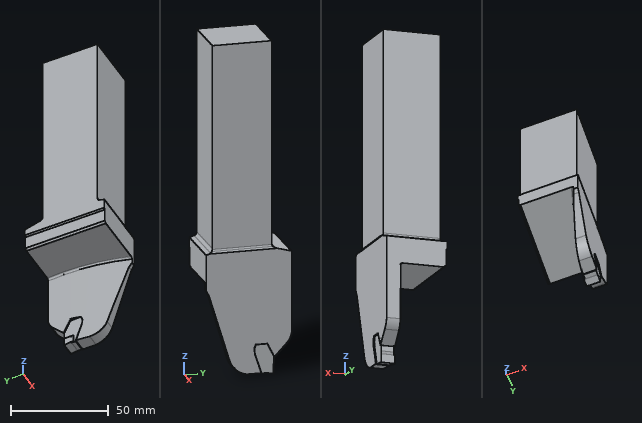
import cadquery as cq
import math

LENGTH = 177.8
HEAD_WIDTH = 33.6
HEAD_DEPTH = 45.7
SIDE_TILT = 0.9
MARGIN = 17.8

SHANK_SIZE = 31.6
SHANK_FRONT = 4.0
SHANK_BACK = SHANK_FRONT + SHANK_SIZE
SHOULDER_TOP = 67.7
FRONT_SHOULDER_EDGE = 66.5
BACK_SHOULDER_EDGE = 64.9
SHOULDER_FILLET = 2.0
RIGHT_FILLET = 1.0
RIGHT_SHOULDER_LIFT = 0.5

STEP_TOP = 60.8
STEP_BOTTOM = 59.7
STEP_DEPTH = 0.5
HEAD_BOTTOM = 51.0
BOTTOM_CHAMFER = 1.0

INNER_RADIUS = 117.3
INNER_AXIS_Y = 37.3
INNER_FACE_X = 25.0
ROOT_FILLET = 1.0
BLADE_BOTTOM = 0.9
FRONT_CORNER_Z = 47.3
FRONT_SLOPE_START = (1.6, 44.5)
FRONT_SLOPE_END = (12.6, 8.7)
BACK_CORNER_Z = 21.3
BACK_SLOPE_START = (43.0, 15.8)
BACK_SLOPE_END = (36.5, 8.9)
NOSE_END_Y = 21.9

INSERT_INNER_X = 25.6
INSERT_OUTER_X = 32.5
INSERT_TOP = 16.4
INSERT_TOP_BACK_Y = 32.7
INSERT_TOP_FRONT_Y = 26.7
INSERT_FOOT = (29.7, 0.5)
INSERT_SHOULDER_UPPER = (25.8, 14.2)
INSERT_SHOULDER_LOWER = (26.1, 11.2)
RELIEF_HEIGHT = 1.0
TIP_INNER_X = 24.9
TIP_HEIGHT = 4.6
TIP_FRONT_Y = 30.8
TIP_FRONT_Z = 0.7
INSERT_HEEL_Z = 6.0
TIP_BACK_Y = 36.1


def side_profile():
    """Outline in the YZ plane of the shank, head and blade."""
    profile = (
        cq.Workplane("YZ")
        .moveTo(SHANK_FRONT, LENGTH)
        .lineTo(SHANK_FRONT, SHOULDER_TOP)
        .lineTo(0, FRONT_SHOULDER_EDGE)
        .lineTo(0, FRONT_CORNER_Z)
        .lineTo(*FRONT_SLOPE_START)
        .lineTo(*FRONT_SLOPE_END)
    )
    return (
        profile.tangentArcPoint((NOSE_END_Y, BLADE_BOTTOM), relative=False)
        .lineTo(TIP_BACK_Y, BLADE_BOTTOM)
        .lineTo(TIP_BACK_Y, TIP_HEIGHT)
        .lineTo(BACK_SLOPE_END[0], INSERT_HEEL_Z)
        .lineTo(*BACK_SLOPE_END)
        .lineTo(*BACK_SLOPE_START)
        .tangentArcPoint((HEAD_DEPTH, BACK_CORNER_Z), relative=False)
        .lineTo(HEAD_DEPTH, BACK_SHOULDER_EDGE)
        .lineTo(SHANK_BACK, SHOULDER_TOP)
        .lineTo(SHANK_BACK, LENGTH)
        .close()
    )


def leaning_envelope():
    """Front outline drawn out along Y, with the side faces leaning in plan."""
    lean = HEAD_DEPTH * math.tan(math.radians(SIDE_TILT))
    head_right = HEAD_WIDTH - lean
    shank_right = SHANK_SIZE - lean
    outline = [
        (0, LENGTH),
        (shank_right, LENGTH),
        (shank_right, SHOULDER_TOP + RIGHT_SHOULDER_LIFT),
        (head_right, FRONT_SHOULDER_EDGE + RIGHT_SHOULDER_LIFT),
        (head_right, 0),
        (STEP_DEPTH + BOTTOM_CHAMFER, 0),
        (STEP_DEPTH + BOTTOM_CHAMFER, HEAD_BOTTOM),
        (STEP_DEPTH, HEAD_BOTTOM + BOTTOM_CHAMFER),
        (STEP_DEPTH, STEP_BOTTOM),
        (0, STEP_TOP),
    ]
    shank_corner = cq.selectors.NearestToPointSelector(
        (shank_right, HEAD_DEPTH, SHOULDER_TOP + RIGHT_SHOULDER_LIFT)
    )
    return (
        cq.Workplane("XZ", origin=(0, HEAD_DEPTH, 0))
        .polyline(outline)
        .close()
        .extrude(HEAD_DEPTH + MARGIN, both=True)
        .edges("|Y")
        .edges(shank_corner)
        .fillet(RIGHT_FILLET)
        .rotate((0, HEAD_DEPTH, 0), (0, HEAD_DEPTH, 1), SIDE_TILT)
    )


def under_head_space():
    """Space under the head, bounded by the rounded inner face of the blade."""
    rounded_core = (
        cq.Workplane("XY", origin=(INNER_FACE_X + INNER_RADIUS, INNER_AXIS_Y, -MARGIN))
        .circle(INNER_RADIUS)
        .extrude(HEAD_BOTTOM + MARGIN)
    )
    space = (
        cq.Workplane("XY", origin=(-MARGIN, -MARGIN, -MARGIN))
        .box(
            HEAD_WIDTH + MARGIN,
            HEAD_DEPTH + 2 * MARGIN,
            HEAD_BOTTOM + MARGIN,
            centered=False,
        )
        .cut(rounded_core)
    )
    return space.faces(">Z").edges("%CIRCLE").fillet(ROOT_FILLET)


def insert_bar(inner_x, outer_x):
    """Slanted bar with the side outline of the insert between two X positions."""
    outline = [
        (INSERT_TOP_BACK_Y, INSERT_TOP),
        (INSERT_TOP_FRONT_Y, INSERT_TOP),
        INSERT_SHOULDER_UPPER,
        INSERT_SHOULDER_LOWER,
        INSERT_FOOT,
        (TIP_BACK_Y, INSERT_FOOT[1]),
        (TIP_BACK_Y, TIP_HEIGHT),
        (BACK_SLOPE_END[0], INSERT_HEEL_Z),
        BACK_SLOPE_END,
    ]
    return (
        cq.Workplane("YZ", origin=(inner_x, 0, 0))
        .polyline(outline)
        .close()
        .extrude(outer_x - inner_x)
    )


def make_insert():
    """Bar with a wider cutting tip at its lower back corner."""
    tip_outline = [
        (TIP_FRONT_Y, TIP_FRONT_Z),
        (TIP_BACK_Y, 0),
        (TIP_BACK_Y, TIP_HEIGHT),
        (TIP_FRONT_Y, TIP_HEIGHT),
    ]
    tip = (
        cq.Workplane("YZ", origin=(TIP_INNER_X, 0, 0))
        .polyline(tip_outline)
        .close()
        .extrude(INSERT_OUTER_X - TIP_INNER_X)
    )
    return insert_bar(INSERT_INNER_X, INSERT_OUTER_X).union(tip)


def pocket_relief():
    """Sloped face where the upper end of the pocket meets the inner blade face."""
    outline = [
        (INSERT_INNER_X, INSERT_TOP),
        (INNER_FACE_X, INSERT_TOP + RELIEF_HEIGHT),
        (INNER_FACE_X, INSERT_TOP),
    ]
    return (
        cq.Workplane("XZ", origin=(0, INSERT_TOP_BACK_Y, 0))
        .polyline(outline)
        .close()
        .extrude(INSERT_TOP_BACK_Y - INSERT_TOP_FRONT_Y)
    )


def make_holder():
    """Shank, head and blade, with the pocket that receives the insert."""
    body = side_profile().extrude(HEAD_WIDTH + MARGIN)
    body = body.translate((-MARGIN / 2, 0, 0))
    for shank_y in (SHANK_FRONT, SHANK_BACK):
        corner = cq.selectors.NearestToPointSelector((HEAD_WIDTH / 2, shank_y, SHOULDER_TOP))
        body = body.edges("|X").edges(corner).fillet(SHOULDER_FILLET)
    pocket = insert_bar(0, HEAD_WIDTH + MARGIN)
    body = body.intersect(leaning_envelope())
    return body.cut(under_head_space()).cut(pocket).cut(pocket_relief())


insert = make_insert()
holder = make_holder().cut(insert)
result = cq.Compound.makeCompound([holder.val(), insert.val()])